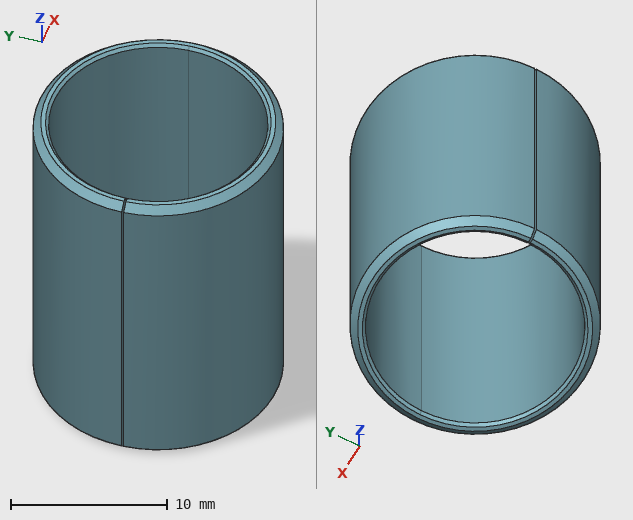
import cadquery as cq
import math

outer_diameter = 16.0
bore_diameter = 14.0
length = 22.0
outer_chamfer = 0.5
bore_chamfer = 0.2
slit_angle = 1.0

outer_radius = outer_diameter / 2
bore_radius = bore_diameter / 2


def make_sleeve():
    """Plain tube standing on the XY plane, chamfered at both ends inside and out."""
    profile = [
        (bore_radius, bore_chamfer),
        (bore_radius + bore_chamfer, 0),
        (outer_radius - outer_chamfer, 0),
        (outer_radius, outer_chamfer),
        (outer_radius, length - outer_chamfer),
        (outer_radius - outer_chamfer, length),
        (bore_radius + bore_chamfer, length),
        (bore_radius, length - bore_chamfer),
    ]
    return cq.Workplane("XZ").polyline(profile).close().revolve(360, (0, 0), (0, 1))


def make_slit():
    """Thin full-length radial wedge through the -X wall, opening from the Y = 0 plane toward +Y."""
    reach = 2 * outer_radius
    opening = reach * math.tan(math.radians(slit_angle))
    wedge = cq.Workplane("XY").polyline([(0, 0), (-reach, 0), (-reach, opening)]).close()
    return wedge.extrude(length)


result = make_sleeve().cut(make_slit())